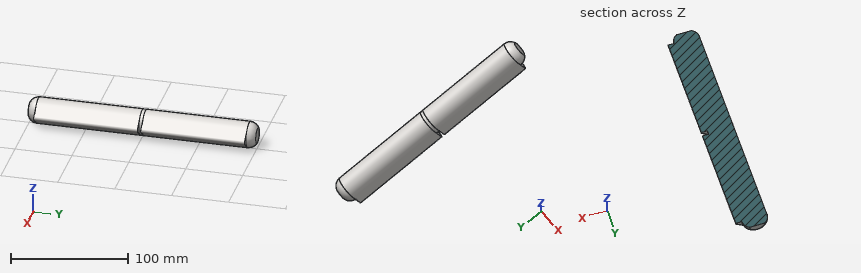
import cadquery as cq
import math

total_length = 200.0
washer_thickness = 3.0
cap_height = 7.5
cap_arc_radius = 8.2
barrel_diameter = 23.0
core_diameter = 22.8
nose_radius = 2.0
overall_width = 28.5

barrel_radius = barrel_diameter / 2
core_radius = core_diameter / 2
nose_reach = overall_width - barrel_radius
barrel_end = total_length / 2 - cap_height


def teardrop_barrel(start, end):
    """Round barrel blended by tangent flats into a small rounded nose on +X."""
    nose_center = nose_reach - nose_radius
    tangent_angle = math.acos((barrel_radius - nose_radius) / nose_center)
    cosine = math.cos(tangent_angle)
    sine = math.sin(tangent_angle)
    barrel_x = barrel_radius * cosine
    barrel_z = barrel_radius * sine
    nose_x = nose_center + nose_radius * cosine
    nose_z = nose_radius * sine
    return (
        cq.Workplane("XZ", origin=(0, start, 0))
        .moveTo(barrel_x, barrel_z)
        .threePointArc((-barrel_radius, 0), (barrel_x, -barrel_z))
        .lineTo(nose_x, -nose_z)
        .threePointArc((nose_reach, 0), (nose_x, nose_z))
        .close()
        .extrude(start - end)
    )


def cap_radius_at(height):
    """Radius of the domed cap at a height above the barrel end."""
    return core_radius - cap_arc_radius + math.sqrt(cap_arc_radius**2 - height**2)


def capped_core():
    """Solid core along the axis: its middle shows as the washer, its ends as the domed caps."""
    tip = total_length / 2
    flat_radius = cap_radius_at(cap_height)
    mid_height = cap_height / 2
    mid_radius = cap_radius_at(mid_height)
    return (
        cq.Workplane("XY")
        .moveTo(0, -tip)
        .lineTo(flat_radius, -tip)
        .threePointArc((mid_radius, -barrel_end - mid_height), (core_radius, -barrel_end))
        .lineTo(core_radius, barrel_end)
        .threePointArc((mid_radius, barrel_end + mid_height), (flat_radius, tip))
        .lineTo(0, tip)
        .close()
        .revolve(360, (0, 0, 0), (0, 1, 0))
    )


front_barrel = teardrop_barrel(-barrel_end, -washer_thickness / 2)
rear_barrel = teardrop_barrel(washer_thickness / 2, barrel_end)
result = capped_core().union(front_barrel).union(rear_barrel)